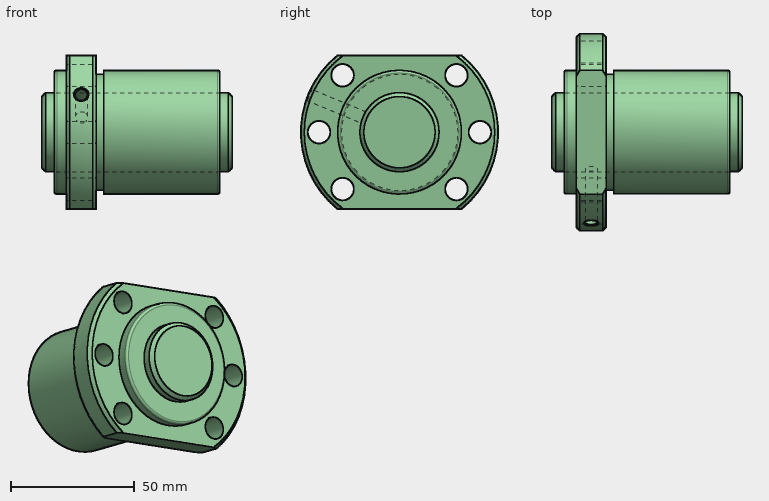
import cadquery as cq
import math

total_length = 77.0
shaft_overhang = 5.0
flange_front = 10.0
flange_thickness = 12.05
relief_width = 3.0
flange_back = flange_front + flange_thickness
nut_length = total_length - 2 * shaft_overhang
half_length = total_length / 2

shaft_diameter = 32.0
shaft_chamfer = 1.6

nut_diameter = 50.0
relief_diameter = 47.0
nut_edge_radius = 1.0

flange_diameter = 79.75
flange_height = 62.0
flange_chamfer = 1.4
bolt_hole_diameter = 9.0
bolt_circle_diameter = 65.0
bolt_angles = [side + step for side in (0, 180) for step in (-45, 0, 45)]

oil_hole_diameter = 4.95
oil_hole_mouth_diameter = 6.0
oil_hole_mouth_depth = (oil_hole_mouth_diameter - oil_hole_diameter) / 2
oil_hole_angle = 22.5


def cylinder(start, length, diameter):
    """Cylinder on the X axis, with x = 0 at the middle of the shaft."""
    return (
        cq.Workplane("YZ", origin=(start - half_length, 0, 0))
        .circle(diameter / 2)
        .extrude(length)
    )


def make_shaft():
    """Plain round shaft with both ends chamfered."""
    return cylinder(0, total_length, shaft_diameter).faces("<X or >X").edges().chamfer(shaft_chamfer)


def make_flange():
    """Chamfered disc with two flats and a circle of through holes."""
    flange = cylinder(flange_front, flange_thickness, flange_diameter).edges().chamfer(flange_chamfer)
    flats = cq.Workplane("XY").box(total_length, flange_diameter, flange_height)
    flange = flange.intersect(flats)
    radius = bolt_circle_diameter / 2
    for angle in bolt_angles:
        y = radius * math.cos(math.radians(angle))
        z = radius * math.sin(math.radians(angle))
        hole = cylinder(flange_front, flange_thickness, bolt_hole_diameter).translate((0, y, z))
        flange = flange.cut(hole)
    return flange


def make_oil_hole():
    """Radial drilling from the rim to the bore, with a conical mouth."""
    angle = math.radians(oil_hole_angle)
    outward = cq.Vector(0, -math.cos(angle), math.sin(angle))
    center = cq.Vector(flange_front + flange_thickness / 2 - half_length, 0, 0)
    rim = center + outward * (flange_diameter / 2)
    drilling = cq.Solid.makeCylinder(oil_hole_diameter / 2, flange_diameter / 2, center, outward)
    mouth = cq.Solid.makeCone(
        oil_hole_mouth_diameter / 2,
        oil_hole_diameter / 2,
        oil_hole_mouth_depth,
        rim,
        outward * -1,
    )
    return drilling.fuse(mouth)


def make_nut():
    """Flanged nut body with rounded ends, a relief groove behind the flange, and a bore for the shaft."""
    body = cylinder(shaft_overhang, nut_length, nut_diameter)
    body = body.faces("<X or >X").edges().fillet(nut_edge_radius)
    groove = cylinder(flange_back, relief_width, nut_diameter)
    groove = groove.cut(cylinder(flange_back, relief_width, relief_diameter))
    bore = cylinder(0, total_length, shaft_diameter)
    return body.cut(groove).union(make_flange()).cut(bore).cut(cq.Workplane(make_oil_hole()))


shaft = make_shaft()
nut = make_nut()
result = cq.Compound.makeCompound([shaft.val(), nut.solids().val()])